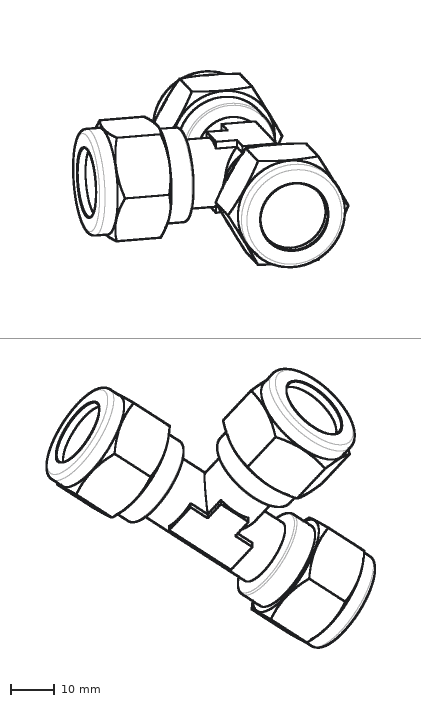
import cadquery as cq
import math

arm_reach = 39.0

pipe_radius = 8.0
collar_radius = 11.0
collar_start = 15.5
collar_taper_angle = 15.0
collar_fillet = 0.5

nut_across_flats = 25.0
nut_start = 22.0
nut_end = 34.95
nut_chamfer_angle = 30.0

cap_radius = 12.4
cap_fillet = 1.0
bore_radius = 8.0
bore_depth = 2.0
bore_chamfer = 0.15

pad_reach = 9.05
pad_half_width = 4.05
pad_half_height = 8.6

collar_taper_length = (collar_radius - pipe_radius) * math.tan(math.radians(collar_taper_angle))
collar_edge = collar_start + collar_taper_length
nut_corner_radius = nut_across_flats / math.sqrt(3)
nut_length = nut_end - nut_start


def make_pipe_and_collar():
    """Revolved pipe and tapered collar along +X, ending inside the nut."""
    profile = (
        cq.Workplane("XY")
        .lineTo(0, pipe_radius)
        .lineTo(collar_start, pipe_radius)
        .lineTo(collar_edge, collar_radius)
        .lineTo(nut_end, collar_radius)
        .lineTo(nut_end, 0)
        .close()
    )
    turned = profile.revolve(360, (0, 0), (1, 0))
    collar_corner = cq.selectors.BoxSelector(
        (collar_edge - collar_fillet / 2, -2 * collar_radius, -2 * collar_radius),
        (collar_edge + collar_fillet / 2, 2 * collar_radius, 2 * collar_radius),
    )
    return turned.edges(collar_corner).fillet(collar_fillet)


def make_nut():
    """Hexagon along +X whose corners are trimmed by a cone at both ends."""
    start_plane = cq.Workplane("YZ").workplane(offset=nut_start)
    prism = start_plane.polygon(6, 2 * nut_corner_radius).extrude(nut_length)
    chamfer_width = nut_corner_radius - cap_radius
    chamfer_length = chamfer_width * math.tan(math.radians(nut_chamfer_angle))
    trimming_profile = (
        cq.Workplane("XY")
        .moveTo(nut_start, 0)
        .lineTo(nut_start, cap_radius)
        .lineTo(nut_start + chamfer_length, nut_corner_radius)
        .lineTo(nut_end - chamfer_length, nut_corner_radius)
        .lineTo(nut_end, cap_radius)
        .lineTo(nut_end, 0)
        .close()
    )
    return prism.intersect(trimming_profile.revolve(360, (0, 0), (1, 0)))


def make_cap():
    """Round cap along +X with a rounded outer rim."""
    cap = cq.Workplane("YZ").workplane(offset=nut_end).circle(cap_radius).extrude(arm_reach - nut_end)
    return cap.faces(">X").edges().fillet(cap_fillet)


def make_bore():
    """Solid to remove from the end of the cap: a shallow bore with a chamfered mouth."""
    profile = (
        cq.Workplane("XY")
        .moveTo(arm_reach, 0)
        .lineTo(arm_reach, bore_radius + bore_chamfer)
        .lineTo(arm_reach - bore_chamfer, bore_radius)
        .lineTo(arm_reach - bore_depth, bore_radius)
        .lineTo(arm_reach - bore_depth, 0)
        .close()
    )
    return profile.revolve(360, (0, 0), (1, 0))


def make_arm():
    """One complete compression end along +X."""
    return make_pipe_and_collar().union(make_nut()).union(make_cap()).cut(make_bore())


def make_pad():
    """T-shaped block centred on the junction, its stem pointing along -Y."""
    bar = cq.Workplane("XY").box(2 * pad_reach, 2 * pad_half_width, 2 * pad_half_height)
    stem = (
        cq.Workplane("XY")
        .box(2 * pad_half_width, pad_reach, 2 * pad_half_height)
        .translate((0, -pad_reach / 2, 0))
    )
    return bar.union(stem)


result = make_pad()
for arm_angle in (0, 180, -90):
    result = result.union(make_arm().rotate((0, 0, 0), (0, 0, 1), arm_angle))